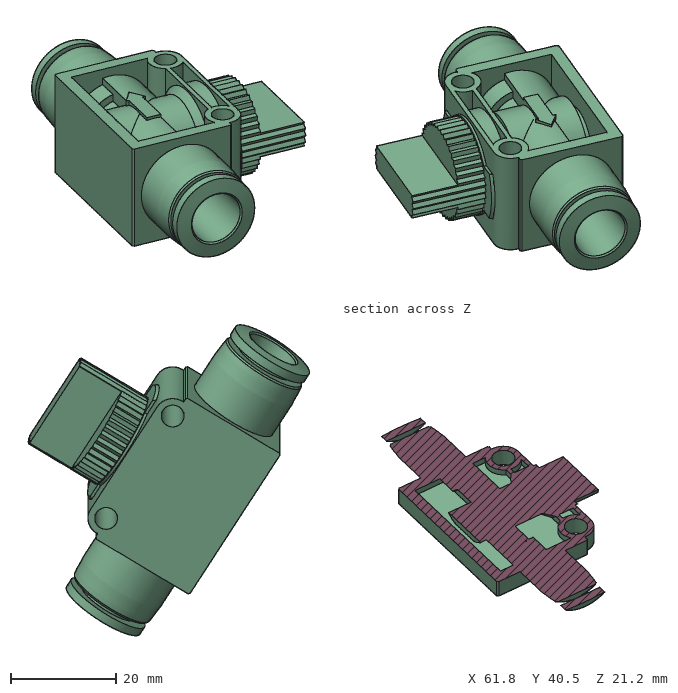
import cadquery as cq
import math


length = 61.8
body_length = 32.95
body_size = 21.2
corner_chamfer = 0.3
boss_x = 12.0
boss_y = 10.9
boss_radius = 3.45
boss_hole_diameter = 4.3
half_body = body_size / 2
body_end = body_length / 2
body_top = boss_y + boss_radius

wall_side = 2.4
top_wall = 0.9
divider_bottom = 9.35
divider_top = divider_bottom + top_wall
pocket_half_length = body_end - wall_side
pocket_bottom = wall_side - half_body
pocket_top = body_top - top_wall
pocket_floor = wall_side - half_body

chamber_radius = 8.8
chamber_bottom = -6.7
chamber_top = 7.85
collar_radius = 10.2
stub_radius = 6.5
core_radius = 6.0
neck_radius = 7.4
neck_length = 4.3
passage_lap = 1.5

tube_end = length / 2
ring_radius = 8.35
ring_edge = 30.45
ring_back = 28.75
sleeve_radius = 5.95
socket_face = 27.7
socket_face_radius = 8.2
socket_edge = 27.3
socket_edge_radius = 8.45
taper_start = 26.2
taper_start_radius = 8.6
taper_end = 23.6
bore_radius = 5.1
bore_chamfer = 0.3

overall_depth = 40.5
knob_top = overall_depth - half_body
seat_height = 0.55
seat_top = body_top + seat_height
seat_radius = 9.8
seat_end_radius = 12.7
seat_end_draft = 0.45
seat_half_width = 5.1
dial_height = 5.55
tooth_count = 40
tooth_tip_radius = 9.65
tooth_root_radius = 9.0
grip_thickness = 5.2

arrow_top = 9.3
arrow_tip_x = -6.0
arrow_barb_x = -3.1
arrow_tail_x = 4.5
arrow_barb = 2.1


def box(x_min, x_max, y_min, y_max, z_min, z_max):
    block = cq.Workplane("XY").box(x_max - x_min, y_max - y_min, z_max - z_min, centered=False)
    return block.translate((x_min, y_min, z_min))


def x_cylinder(radius, x_min, x_max):
    return cq.Workplane("YZ").workplane(offset=x_min).circle(radius).extrude(x_max - x_min)


def y_revolve(points):
    """Revolve a closed outline of (radius, y) points about the Y axis."""
    return cq.Workplane("XY").polyline(points).close().revolve(360, (0, 0, 0), (0, 1, 0))


def boss_cylinders(radius):
    return (
        cq.Workplane("XY")
        .workplane(offset=-half_body)
        .pushPoints([(-boss_x, boss_y), (boss_x, boss_y)])
        .circle(radius)
        .extrude(body_size)
    )


def housing():
    block = cq.Workplane("XY").box(body_length, body_size, body_size).edges("|Z").chamfer(corner_chamfer)
    bridge = box(-boss_x, boss_x, 0, body_top, -half_body, half_body)
    boss_reach = boss_x + boss_radius
    shoulders = box(-boss_reach, boss_reach, 0, boss_y, -half_body, half_body)
    return block.union(bridge).union(shoulders).union(boss_cylinders(boss_radius))


def pockets():
    """The two pockets either side of the divider, shaped around the bosses."""
    reach = pocket_half_length
    lower = box(-reach, reach, pocket_bottom, divider_bottom, pocket_floor, half_body)
    upper = box(-boss_x, boss_x, divider_top, pocket_top, pocket_floor, half_body)
    return lower.union(upper).cut(boss_cylinders(boss_radius))


def internal_space():
    """Room for the parts inside the pockets, from the inner wall faces through to the underside."""
    return box(-pocket_half_length, pocket_half_length, pocket_bottom, pocket_top, -half_body, half_body)


def valve_chamber():
    return y_revolve([
        (0, pocket_bottom),
        (stub_radius, pocket_bottom),
        (stub_radius, chamber_bottom),
        (chamber_radius, chamber_bottom),
        (chamber_radius, chamber_top),
        (collar_radius, divider_bottom),
        (collar_radius, pocket_top),
        (0, pocket_top),
    ])


def passages():
    core = x_cylinder(core_radius, -pocket_half_length, pocket_half_length)
    inner = pocket_half_length - neck_length
    for start in (-pocket_half_length, inner):
        core = core.union(x_cylinder(neck_radius, start, start + neck_length))
    inlet = x_cylinder(chamber_radius, -pocket_half_length, 0).intersect(
        box(-body_end, 0, -passage_lap, half_body, -half_body, half_body)
    )
    outlet = inlet.rotate((0, 0, 0), (0, 0, 1), 180)
    return core.union(inlet).union(outlet)


def push_fit_end():
    """Socket with release ring at the +X end, bored as far as the inner face of the housing wall."""
    return (
        cq.Workplane("XY")
        .polyline([
            (pocket_half_length, bore_radius),
            (pocket_half_length, chamber_radius),
            (taper_end, chamber_radius),
            (taper_start, taper_start_radius),
            (socket_edge, socket_edge_radius),
            (socket_face, socket_face_radius),
            (socket_face, sleeve_radius),
            (ring_back, sleeve_radius),
            (ring_back, ring_radius),
            (ring_edge, ring_radius),
            (tube_end, bore_radius + bore_chamfer),
            (tube_end - bore_chamfer, bore_radius),
        ])
        .close()
        .revolve(360, (0, 0, 0), (1, 0, 0))
    )


def knob_seat():
    disc = y_revolve([(0, body_top), (seat_radius, body_top), (seat_radius, seat_top), (0, seat_top)])
    ends = y_revolve([
        (0, body_top),
        (seat_end_radius, body_top),
        (seat_end_radius - seat_end_draft, seat_top),
        (0, seat_top),
    ]).intersect(
        box(-body_end, body_end, body_top, seat_top, -seat_half_width, seat_half_width)
    )
    return disc.union(ends)


def toothed_bar(y_min, y_max):
    """V-toothed round bar along Y, with a tooth tip on the X axis."""
    outline = []
    for i in range(2 * tooth_count):
        radius = tooth_root_radius if i % 2 else tooth_tip_radius
        angle = math.pi * i / tooth_count
        outline.append((radius * math.cos(angle), radius * math.sin(angle)))
    return cq.Workplane("XZ").workplane(offset=-y_max).polyline(outline).close().extrude(y_max - y_min)


def knob():
    dial = toothed_bar(seat_top, seat_top + dial_height)
    half_grip = grip_thickness / 2
    grip = toothed_bar(seat_top, knob_top).intersect(
        box(-body_end, body_end, seat_top, knob_top, -half_grip, half_grip)
    )
    return knob_seat().union(dial).union(grip)


def flow_arrow():
    return (
        cq.Workplane("XY")
        .polyline([
            (arrow_tip_x, 0),
            (arrow_barb_x, arrow_barb),
            (arrow_barb_x, passage_lap),
            (arrow_tail_x, passage_lap),
            (arrow_tail_x, -passage_lap),
            (arrow_barb_x, -passage_lap),
            (arrow_barb_x, -arrow_barb),
        ])
        .close()
        .extrude(arrow_top)
    )


socket = push_fit_end()
bore = x_cylinder(bore_radius, pocket_half_length, tube_end)
internals = valve_chamber().union(passages()).union(flow_arrow()).intersect(internal_space())

result = housing().cut(pockets()).union(internals)
for cutter, end in ((bore, socket), (bore.mirror("YZ"), socket.mirror("YZ"))):
    result = result.cut(cutter).union(end)
result = result.union(knob()).cut(boss_cylinders(boss_hole_diameter / 2))